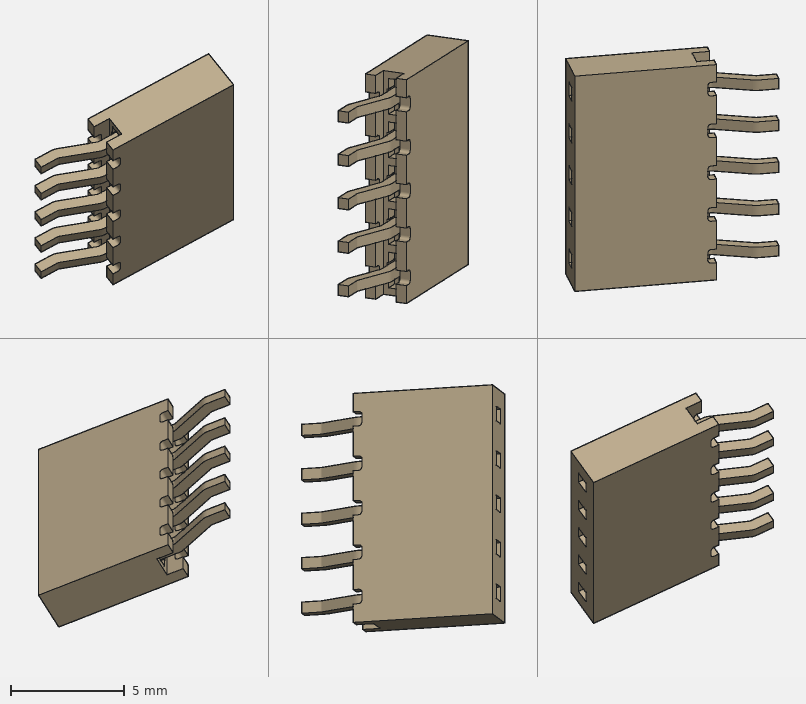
import cadquery as cq
import math

housing_width = 2.0
housing_length = 6.35
housing_height = 10.3

contact_count = 5
pitch = 2.0
contact_heights = [(i - (contact_count - 1) / 2) * pitch for i in range(contact_count)]

side_wall = 0.5
channel_width = housing_width - 2 * side_wall
channel_depth = 0.79

notch_height = 0.65
notch_depth = 0.39
notch_radius = 0.15

passage_width = 0.64
passage_height = notch_height

contact_thickness = 0.5
slot_height = 1.64
blade_recess = 0.62
blade_length = 0.52
slot_depth = blade_recess + blade_length

leg_height = contact_thickness
tip_y = -2.79
first_bend_y = 0.0
second_bend_y = -1.83
inner_bend_radius = 0.21
outer_bend_radius = inner_bend_radius + contact_thickness
leg_offset = (housing_width - contact_thickness) / 2
bend_angle = math.atan2(leg_offset, first_bend_y - second_bend_y)

blade_front_y = channel_depth + blade_recess


def block_from(width, depth, height, start_y, z):
    """Box centred on X that runs toward +Y from start_y."""
    return cq.Workplane("XY").box(width, depth, height, centered=(True, False, True)).translate((0, start_y, z))


def make_notch(z):
    """Slot across the full width, with its two inner corners rounded."""
    notch = block_from(housing_width, notch_depth, notch_height, 0, z)
    return notch.faces(">Y").edges("|X").fillet(notch_radius)


def make_housing():
    body = block_from(housing_width, housing_length, housing_height, 0, 0)
    body = body.cut(block_from(channel_width, channel_depth, housing_height, 0, 0))
    for z in contact_heights:
        body = body.cut(make_notch(z))
        body = body.cut(block_from(passage_width, housing_length, passage_height, 0, z))
        body = body.cut(block_from(contact_thickness, slot_depth, slot_height, channel_depth, z))
    return body


def make_leg():
    """Leg of constant thickness that steps toward -X between two rounded bends."""
    half = contact_thickness / 2
    miter = half * math.tan(bend_angle / 2)
    first_left = (-half, first_bend_y + miter)
    first_right = (half, first_bend_y - miter)
    second_left = (-leg_offset - half, second_bend_y + miter)
    second_right = (-leg_offset + half, second_bend_y - miter)
    outline = [
        (-half, blade_front_y),
        first_left,
        second_left,
        (-leg_offset - half, tip_y),
        (-leg_offset + half, tip_y),
        second_right,
        first_right,
        (half, blade_front_y),
    ]
    leg = cq.Workplane("XY").polyline(outline).close().extrude(leg_height / 2, both=True)
    bends = [
        (first_left, inner_bend_radius),
        (first_right, outer_bend_radius),
        (second_left, outer_bend_radius),
        (second_right, inner_bend_radius),
    ]
    for (x, y), radius in bends:
        leg = leg.edges(cq.NearestToPointSelector((x, y, 0))).fillet(radius)
    return leg


def make_contact(z):
    """Flat blade seated in the housing slot, with the bent leg in front of it."""
    blade = block_from(contact_thickness, blade_length, slot_height, blade_front_y, 0)
    return blade.union(make_leg()).translate((0, 0, z))


housing = make_housing()
contacts = [make_contact(z) for z in contact_heights]

result = cq.Compound.makeCompound([housing.val(), *[contact.val() for contact in contacts]])